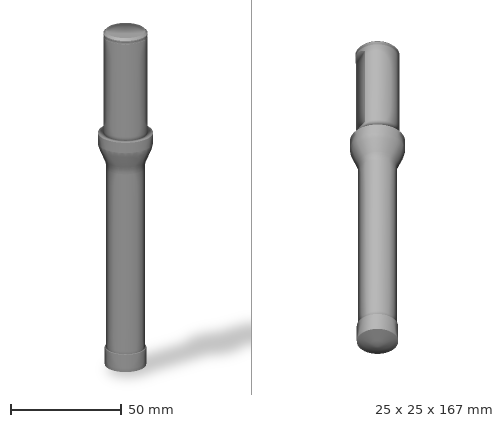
import cadquery as cq
import math

total_height = 167.0
collar_top = 116.9
collar_bottom = 111.9
bulge_side_height = 109.4
bulge_bottom = 103.5
neck_top = 99.9
tip_top = 11.4
point_height = 2.8

shank_radius = 20.0 / 2
collar_radius = 25.0 / 2
bulge_side_radius = 12.0
bulge_end_radius = 9.5
neck_radius = 17.5 / 2
tip_radius = 18.9 / 2

chamfer = 1.0
groove_top = 165.5
groove_wall_bottom = 165.0
groove_bottom = 164.3
groove_depth = 0.2

flat_depth = 1.7
flat_upper_end = 163.7
flat_lower_end = 120.0


def make_holder():
    """Revolved shank, collar, rounded shoulder and neck, with the flat cut away."""
    fillet_rise = bulge_bottom - neck_top
    fillet_angle = 2 * math.atan((bulge_end_radius - neck_radius) / fillet_rise)
    fillet_tangent = (math.sin(fillet_angle), math.cos(fillet_angle))
    groove_radius = shank_radius - groove_depth
    body = (
        cq.Workplane("XZ")
        .moveTo(0, tip_top)
        .lineTo(neck_radius, tip_top)
        .lineTo(neck_radius, neck_top)
        .tangentArcPoint((bulge_end_radius, bulge_bottom), relative=False)
        .spline(
            [(bulge_side_radius, bulge_side_height), (collar_radius, collar_bottom)],
            tangents=[fillet_tangent, (0, 1)],
            includeCurrent=True,
        )
        .lineTo(collar_radius, collar_top)
        .lineTo(shank_radius, collar_top)
        .lineTo(shank_radius, groove_bottom)
        .lineTo(groove_radius, groove_bottom)
        .lineTo(groove_radius, groove_wall_bottom)
        .lineTo(shank_radius, groove_top)
        .lineTo(shank_radius, total_height - chamfer)
        .lineTo(shank_radius - chamfer, total_height)
        .lineTo(0, total_height)
        .close()
        .revolve(360, (0, 0, 0), (0, 1, 0))
    )
    return body.cut(make_flat_cutter())


def make_flat_cutter():
    """Trapezoidal block, wider than the shank, that leaves the flat."""
    flat_y = shank_radius - flat_depth
    return (
        cq.Workplane("YZ")
        .moveTo(shank_radius, flat_lower_end)
        .lineTo(flat_y, flat_lower_end + flat_depth)
        .lineTo(flat_y, flat_upper_end - flat_depth)
        .lineTo(shank_radius, flat_upper_end)
        .close()
        .extrude(shank_radius, both=True)
    )


def make_tip():
    """Cylindrical cutting tip with a shallow conical point."""
    return (
        cq.Workplane("XZ")
        .lineTo(tip_radius, point_height)
        .lineTo(tip_radius, tip_top)
        .lineTo(0, tip_top)
        .close()
        .revolve(360, (0, 0, 0), (0, 1, 0))
    )


holder = make_holder()
tip = make_tip()

result = cq.Compound.makeCompound([holder.val(), tip.val()])